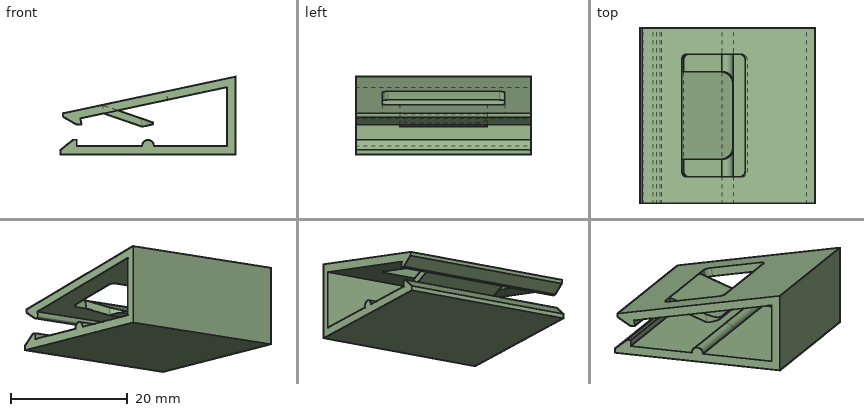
import cadquery as cq
import math

length = 30.0
width = 30.0
height = 13.35
wall = 1.5

arm_angle = 12.0
arm_start_x = 0.42
arm_sin = math.sin(math.radians(arm_angle))
arm_cos = math.cos(math.radians(arm_angle))
arm_tan = arm_sin / arm_cos

nose_height = 0.65
nose_setback = 0.12
hook_flat_x = 2.8
hook_back_x = 3.45
hook_bottom_z = 5.1
hook_round = 0.18

lip_back_x = 2.85
lip_flat_x = 2.22
lip_top_z = 2.55
lip_front_z = 0.78

ridge_x = 15.0
ridge_radius = 1.02

window_start_x = 7.17
window_length = 11.1
window_width = 21.0
window_radius = 1.0

tongue_angle = 19.0
tongue_thickness = 1.32
tongue_tip_x = 15.93
tongue_width = 15.0
tongue_radius = 2.0
tongue_overlap = 0.2
tip_bottom_start_x = 14.0
tip_face_height = 0.35
tip_face_setback = 0.12


def arm_top(x):
    return height - (length - x) * arm_tan


def arm_bottom(x):
    return arm_top(x) - wall / arm_cos


def extrude_across(sketch, depth):
    """Extrude a profile in the XZ plane equally to both sides of y = 0."""
    return sketch.close().extrude(depth / 2, both=True)


def rounded_prism(start_x, prism_length, prism_width, radius, depth):
    """Rounded block square to the arm, starting at the arm's top line and centred on its surface."""
    plane = cq.Plane(
        origin=(start_x, 0, arm_top(start_x)),
        xDir=(arm_cos, 0, arm_sin),
        normal=(-arm_sin, 0, arm_cos),
    )
    return (
        cq.Workplane(plane)
        .center(prism_length / 2, 0)
        .rect(prism_length, prism_width)
        .extrude(depth, both=True)
        .edges(cq.selectors.ParallelDirSelector(plane.zDir))
        .fillet(radius)
    )


def make_frame():
    """Base with lip, back wall, and arm with hook, as one continuous profile."""
    inner_x = length - wall
    nose_bottom_z = arm_top(arm_start_x) - nose_height
    round_offset = hook_round * math.sqrt(0.5)
    profile = (
        cq.Workplane("XZ")
        .moveTo(0, 0)
        .lineTo(length, 0)
        .lineTo(length, height)
        .lineTo(arm_start_x, arm_top(arm_start_x))
        .threePointArc(
            (arm_start_x, nose_bottom_z + nose_height / 2),
            (arm_start_x + nose_setback, nose_bottom_z),
        )
        .lineTo(hook_flat_x, hook_bottom_z)
        .lineTo(hook_back_x, hook_bottom_z)
        .threePointArc(
            (hook_back_x + round_offset, hook_bottom_z + hook_round - round_offset),
            (hook_back_x + hook_round, hook_bottom_z + hook_round),
        )
        .lineTo(hook_back_x, arm_bottom(hook_back_x))
        .lineTo(inner_x, arm_bottom(inner_x))
        .lineTo(inner_x, wall)
        .lineTo(lip_back_x, wall)
        .lineTo(lip_back_x, lip_top_z)
        .lineTo(lip_flat_x, lip_top_z)
        .lineTo(0, lip_front_z)
    )
    return extrude_across(profile, width)


def make_ridge():
    ridge = cq.Workplane("XZ").center(ridge_x, wall).circle(ridge_radius).extrude(width / 2, both=True)
    above_floor = cq.Workplane("XY").box(length, width, height, centered=(False, True, False))
    return ridge.intersect(above_floor)


def make_tongue():
    slope = math.tan(math.radians(tongue_angle))
    drop = tongue_thickness / math.cos(math.radians(tongue_angle))

    def tongue_top(x):
        return arm_top(window_start_x) - (x - window_start_x) * slope

    root_x = window_start_x - tongue_overlap
    tip_z = tongue_top(tongue_tip_x)
    profile = (
        cq.Workplane("XZ")
        .moveTo(window_start_x, arm_top(window_start_x))
        .lineTo(tongue_tip_x, tip_z)
        .lineTo(tongue_tip_x - tip_face_setback, tip_z - tip_face_height)
        .lineTo(tip_bottom_start_x, tongue_top(tip_bottom_start_x) - drop)
        .lineTo(root_x, tongue_top(root_x) - drop)
    )
    tongue = extrude_across(profile, tongue_width)

    tip_along_arm = (
        (tongue_tip_x - window_start_x) * arm_cos
        + (tip_z - arm_top(window_start_x)) * arm_sin
    )
    block_start_x = window_start_x - 2 * tongue_radius
    block_length = tip_along_arm + 2 * tongue_radius / arm_cos
    return tongue.intersect(
        rounded_prism(block_start_x, block_length, tongue_width, tongue_radius, height)
    )


window = rounded_prism(window_start_x, window_length, window_width, window_radius, 2 * wall)
result = make_frame().cut(window).union(make_ridge()).union(make_tongue())